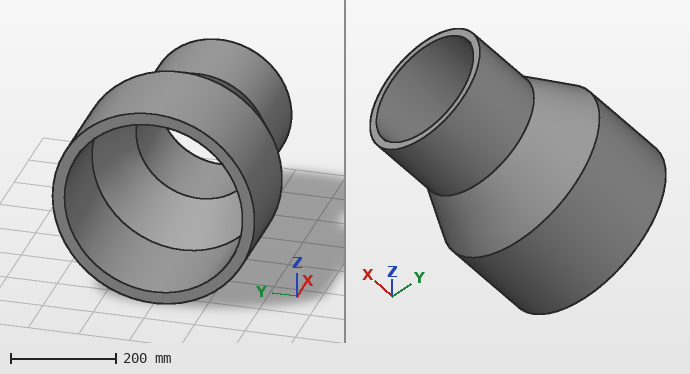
import cadquery as cq

total_length = 465.0
wide_length = 190.0
narrow_length = 155.0
wide_outer_diameter = 400.0
wide_bore_diameter = 352.5
narrow_outer_diameter = 280.0
narrow_bore_diameter = 247.0

taper_end = total_length - narrow_length


def stepped_cone(wide_diameter, narrow_diameter):
    """Solid of revolution about X: wide cylinder, taper, narrow cylinder."""
    wide_radius = wide_diameter / 2
    narrow_radius = narrow_diameter / 2
    return (
        cq.Workplane("XY")
        .moveTo(0, 0)
        .lineTo(0, wide_radius)
        .lineTo(wide_length, wide_radius)
        .lineTo(taper_end, narrow_radius)
        .lineTo(total_length, narrow_radius)
        .lineTo(total_length, 0)
        .close()
        .revolve(360, (0, 0, 0), (1, 0, 0))
    )


body = stepped_cone(wide_outer_diameter, narrow_outer_diameter)
bore = stepped_cone(wide_bore_diameter, narrow_bore_diameter)
result = body.cut(bore)